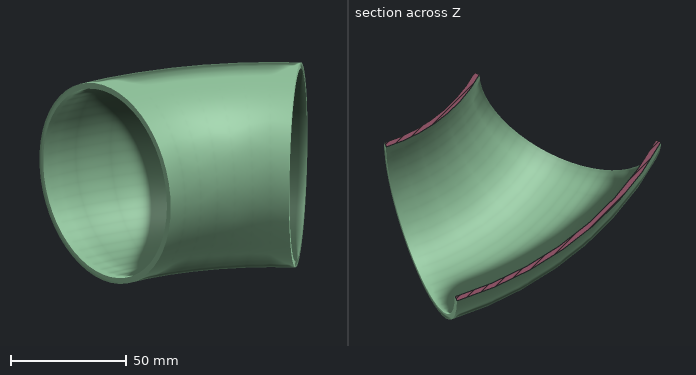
import cadquery as cq
import math

outer_diameter = 88.9
wall = 2.6
bend_angle = 45
total_depth = 112.4

outer_radius = outer_diameter / 2
inner_radius = outer_radius - wall
bend_radius = total_depth / math.sin(math.radians(bend_angle)) - outer_radius

result = (
    cq.Workplane("XZ")
    .circle(outer_radius)
    .circle(inner_radius)
    .revolve(bend_angle, (bend_radius, 1.1, 0), (bend_radius, -1.1, 0))
)